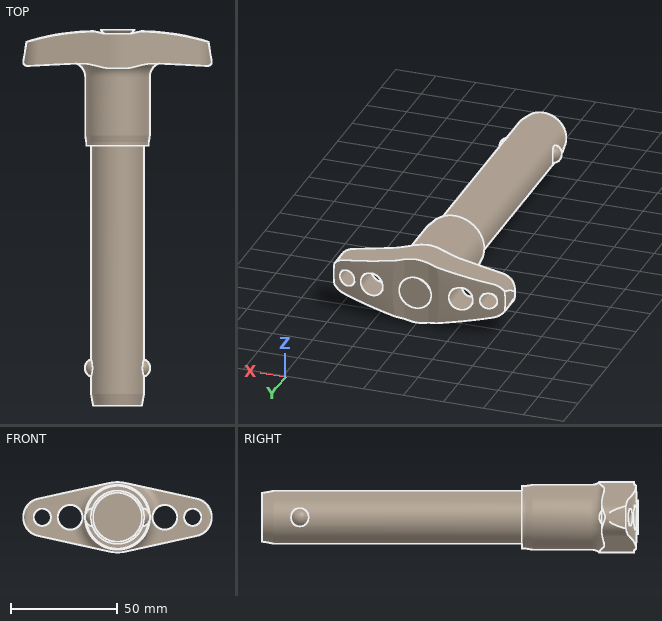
import cadquery as cq
import math

total_length = 176.8

hub_radius = 33.21 / 2
end_radius = 9.0
handle_half_length = 88.7 / 2
end_centre_x = handle_half_length - end_radius

crown_start_radius = 10.5
crown_depth = 0.6
crown_arc_radius = 105.0
rim_top_radius = 42.95
rim_bottom_radius = 44.75
rim_fillet = 2.0
underside_angle = math.radians(3.3)

handle_holes = [(22.25, 11.5), (end_centre_x, 8.0)]

trough_floor_half_width = 6.0
trough_top_half_width = 11.5
trough_depth = 1.85

button_face_radius = 8.0
button_base_radius = 6.5

collar_radius = 15.3
flare_radius = 6.0
flare_end_depth = 21.9
taper_start_depth = 49.7
taper_end_depth = 52.9
collar_end_depth = 54.6
collar_end_radius = 14.75

shank_radius = 12.5
tip_radius = 11.5
tip_cone_length = 5.5
ball_radius = 4.4
ball_reach = 15.4
ball_depth = 159.0


def handle_outline():
    """Tangent hull of the hub and end circles, extruded along the pin axis."""
    tangent_angle = math.asin((hub_radius - end_radius) / end_centre_x)
    hub_x = hub_radius * math.sin(tangent_angle)
    hub_z = hub_radius * math.cos(tangent_angle)
    end_x = end_centre_x + end_radius * math.sin(tangent_angle)
    end_z = end_radius * math.cos(tangent_angle)
    return (
        cq.Workplane("XZ")
        .moveTo(-hub_x, hub_z)
        .threePointArc((0, hub_radius), (hub_x, hub_z))
        .lineTo(end_x, end_z)
        .threePointArc((handle_half_length, 0), (end_x, -end_z))
        .lineTo(hub_x, -hub_z)
        .threePointArc((0, -hub_radius), (-hub_x, -hub_z))
        .lineTo(-end_x, -end_z)
        .threePointArc((-handle_half_length, 0), (-end_x, end_z))
        .close()
        .extrude(flare_end_depth)
    )


def crown_point(radius):
    """Point on the crown arc, which is level where the crown starts."""
    run = radius - crown_start_radius
    drop = crown_arc_radius - math.sqrt(crown_arc_radius**2 - run**2)
    return (radius, -crown_depth - drop)


def flare_point(angle):
    """Point on the concave flare: angle 0 faces the underside and -90 degrees faces the collar."""
    centre_radius = collar_radius + flare_radius
    return (
        centre_radius + flare_radius * math.sin(angle),
        -flare_end_depth + flare_radius * math.cos(angle),
    )


def revolve_about_pin(profile):
    """Close a half profile in the XY plane and turn it about the pin axis."""
    return profile.close().revolve(360, (0, 0, 0), (0, 1, 0))


def handle():
    """Revolved body with its flare, trimmed to the outline, troughed and drilled."""
    crown_mid_radius = (crown_start_radius + rim_top_radius) / 2
    collar_side_angle = -math.pi / 2
    flare_mid_angle = (underside_angle + collar_side_angle) / 2
    flare_start = flare_point(underside_angle)
    underside_run = rim_bottom_radius - flare_start[0]
    underside_end_depth = -flare_start[1] + underside_run * math.tan(underside_angle)
    body = revolve_about_pin(
        cq.Workplane("XY")
        .moveTo(0, -crown_depth)
        .lineTo(crown_start_radius, -crown_depth)
        .threePointArc(crown_point(crown_mid_radius), crown_point(rim_top_radius))
        .lineTo(rim_bottom_radius, -underside_end_depth)
        .lineTo(*flare_start)
        .threePointArc(flare_point(flare_mid_angle), flare_point(collar_side_angle))
        .lineTo(0, -flare_end_depth)
    )
    lower_rim = cq.selectors.RadiusNthSelector(-2)
    rounded_body = body.edges(lower_rim).fillet(rim_fillet)
    return rounded_body.intersect(handle_outline()).cut(trough_cutter()).cut(hole_cutters())


def trough_cutter():
    """Flat-floored trough with sloped sides, open at both long edges of the handle."""
    return (
        cq.Workplane("XY")
        .moveTo(-trough_floor_half_width, -trough_depth)
        .lineTo(trough_floor_half_width, -trough_depth)
        .lineTo(trough_top_half_width, -crown_depth)
        .lineTo(trough_top_half_width, 0)
        .lineTo(-trough_top_half_width, 0)
        .lineTo(-trough_top_half_width, -crown_depth)
        .close()
        .extrude(hub_radius, both=True)
    )


def pin():
    """Collar, shank and tip cone."""
    return revolve_about_pin(
        cq.Workplane("XY")
        .moveTo(0, -flare_end_depth)
        .lineTo(collar_radius, -flare_end_depth)
        .lineTo(collar_radius, -taper_start_depth)
        .lineTo(collar_end_radius, -taper_end_depth)
        .lineTo(collar_end_radius, -collar_end_depth)
        .lineTo(shank_radius, -collar_end_depth)
        .lineTo(shank_radius, -total_length + tip_cone_length)
        .lineTo(tip_radius, -total_length)
        .lineTo(0, -total_length)
    )


def button():
    """Push button that widens towards its face."""
    return revolve_about_pin(
        cq.Workplane("XY")
        .lineTo(button_face_radius, 0)
        .lineTo(button_base_radius, -trough_depth)
        .lineTo(0, -trough_depth)
    )


def balls():
    """Pair of locking balls standing out of the shank."""
    ball_x = ball_reach - ball_radius
    places = [(-ball_x, -ball_depth), (ball_x, -ball_depth)]
    return cq.Workplane("XY").pushPoints(places).sphere(ball_radius)


def hole_cutters():
    """Through holes parallel to the pin axis, mirrored to both arms of the handle."""
    cutters = cq.Workplane("XZ")
    for distance, diameter in handle_holes:
        places = [(-distance, 0), (distance, 0)]
        holes = cq.Workplane("XZ").pushPoints(places).circle(diameter / 2).extrude(flare_end_depth)
        cutters = cutters.add(holes)
    return cutters.combine()


result = handle().union(pin()).union(button()).union(balls())